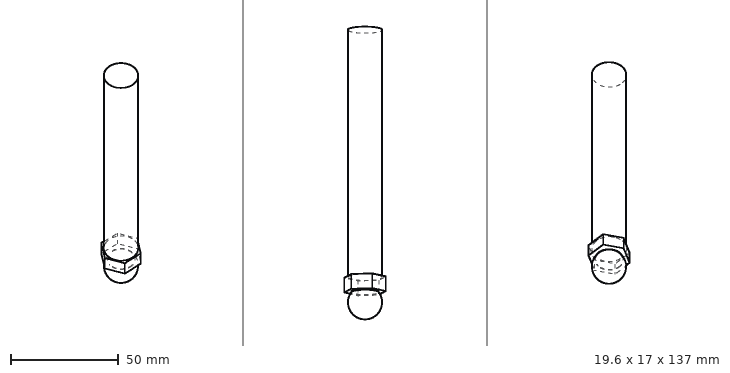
import cadquery as cq
import math

total_length = 137.0
shaft_diameter = 16.0

ball_radius = shaft_diameter / 2
ball_center = ball_radius
neck_diameter = 13.0

hex_sides = 6
across_flats = 17.0
across_corners = across_flats / math.cos(math.pi / hex_sides)
hex_height = 7.0
hex_bottom = 13.0
hex_top = hex_bottom + hex_height


def cylinder(diameter, bottom, top):
    """Upright cylinder on the Z axis between two heights."""
    return cq.Workplane("XY").workplane(offset=bottom).circle(diameter / 2).extrude(top - bottom)


def hex_collar():
    """Hexagon with corners on the X axis and flats facing +Y and -Y."""
    return (
        cq.Workplane("XY")
        .workplane(offset=hex_bottom)
        .polygon(hex_sides, across_corners)
        .extrude(hex_height)
    )


ball = cq.Workplane("XY").sphere(ball_radius).translate((0, 0, ball_center))

neck = cylinder(neck_diameter, ball_center, hex_bottom)

shaft = cylinder(shaft_diameter, hex_top, total_length)

result = hex_collar().union(ball).union(neck).union(shaft)